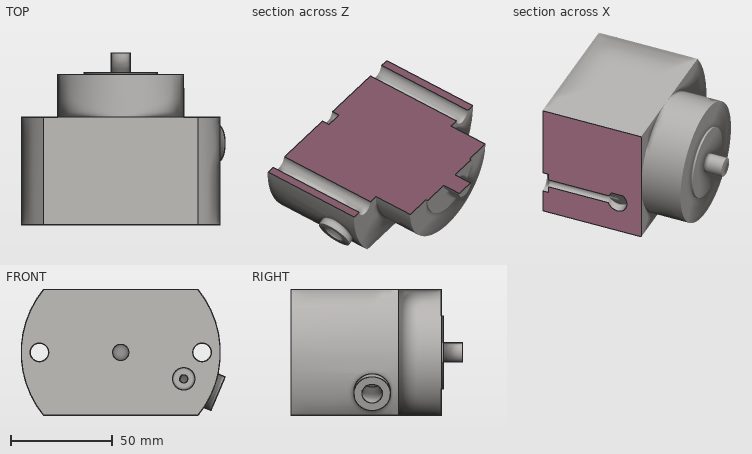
import cadquery as cq
import math

housing_radius = 49.0
housing_height = 62.0
housing_depth = 53.0

flange_diameter = housing_height
flange_end = 74.0
spigot_diameter = 36.0
spigot_end = 75.0
shaft_diameter = 9.5
shaft_end = 84.5

mount_hole_diameter = 9.0
mount_hole_offset = 40.0
center_hole_diameter = 8.0
center_hole_depth = 4.0

entry_angle = -23.0
entry_diameter = 18.0
entry_face_radius = 52.0
entry_position = 40.0
entry_bore_diameter = 10.0
entry_bore_end_radius = 32.0

access_x = 31.0
access_z = -13.0
access_hole_diameter = 4.0
access_counterbore_diameter = 11.0
access_counterbore_depth = 3.0


def cylinder_along_y(diameter, start, end, x=0.0, z=0.0):
    """Cylinder parallel to the Y axis between two Y positions."""
    base = cq.Vector(x, start, z)
    return cq.Workplane(cq.Solid.makeCylinder(diameter / 2, end - start, base, cq.Vector(0, 1, 0)))


def entry_cylinder(diameter, start_radius, end_radius):
    """Cylinder on the tilted entry axis between two distances from the main axis."""
    angle = math.radians(entry_angle)
    direction = cq.Vector(math.cos(angle), 0, math.sin(angle))
    base = direction * start_radius + cq.Vector(0, entry_position, 0)
    return cq.Workplane(cq.Solid.makeCylinder(diameter / 2, end_radius - start_radius, base, direction))


def make_housing():
    disc = cylinder_along_y(2 * housing_radius, 0, housing_depth)
    slab = cq.Workplane("XY").box(
        2 * housing_radius, housing_depth, housing_height, centered=(True, False, True)
    )
    return disc.intersect(slab)


def add_rear_end(body):
    start = housing_depth
    steps = [
        (flange_diameter, flange_end),
        (spigot_diameter, spigot_end),
        (shaft_diameter, shaft_end),
    ]
    for diameter, end in steps:
        body = body.union(cylinder_along_y(diameter, start, end))
        start = end
    return body


def add_cable_entry(body):
    body = body.union(entry_cylinder(entry_diameter, entry_bore_end_radius, entry_face_radius))
    return body.cut(entry_cylinder(entry_bore_diameter, entry_bore_end_radius, entry_face_radius))


def cut_front_holes(body):
    for x in (-mount_hole_offset, mount_hole_offset):
        body = body.cut(cylinder_along_y(mount_hole_diameter, 0, housing_depth, x))
    return body.cut(cylinder_along_y(center_hole_diameter, 0, center_hole_depth))


def cut_access_hole(body):
    steps = [
        (access_counterbore_diameter, access_counterbore_depth),
        (access_hole_diameter, entry_position),
    ]
    for diameter, depth in steps:
        body = body.cut(cylinder_along_y(diameter, 0, depth, access_x, access_z))
    return body


result = make_housing()
result = add_rear_end(result)
result = add_cable_entry(result)
result = cut_front_holes(result)
result = cut_access_hole(result)